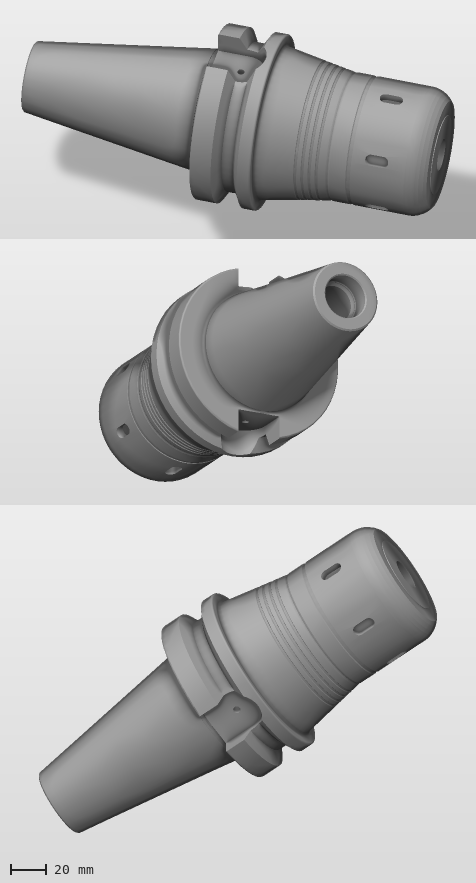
import cadquery as cq
import math


shank_length = 101.8
gauge_radius = 69.85 / 2
taper_slope = 7 / 48
shank_end_chamfer = 0.8
neck_radius = 68.9 / 2
neck_fillet = 1.75

flange_start = 3.0
flange_end = 38.0
flange_radius = 50.0
flange_edge_fillet = 1.0
groove_center = 23.0
groove_floor_width = 6.4
groove_floor_radius = 42.5
groove_wall_slope = math.tan(math.radians(60))
body_fillet = 1.5

body_start_radius = 43.3
body_middle = (57.0, 40.15)
body_end_x = 77.8

ring_count = 4
ring_start = 60.3
ring_pitch = 3.9
ring_width = 1.7
ring_depth = 0.5
ring_flank = 0.3

nut_radius = 73 / 2
nut_groove_radius = 72 / 2
front_groove_end = 80.0
collar_end = 89.4
nut_start = 92.0
nose_start = 122.9
nose_end = 134.6
nose_radius = 14.4
nose_arc_end = 128.6
nose_cone_ends = (130.7, 133.0, nose_end)
face_boss_radius = 22.5
total_reach = 135.0

slot_count = 6
slot_center = 106.3
slot_length = 13.2
slot_width = 6.4
slot_floor_radius = 32.0

keyway_width = 25.7
keyway_floor = 35.4
keyway_end = 34.0

cross_hole_diameter = 4.0
cross_hole_x = 19.6

pilot_radius = 25 / 2
pilot_chamfer = 0.7
pilot_depth = 11.6
thread_relief_radius = 24 / 2
thread_relief_length = 0.4
thread_radius = 21 / 2
thread_end_depth = 60.0
through_radius = 18 / 2


def nose_radius_at(x):
    """Nut radius at x, where the nose follows an arc tangent to the nut's side."""
    return nut_radius - nose_radius + math.sqrt(nose_radius**2 - (x - nose_start) ** 2)


def make_turned_body():
    """Outside of the holder, revolved about X."""
    small_radius = gauge_radius - shank_length * taper_slope
    groove_left = groove_center - groove_floor_width / 2
    groove_right = groove_center + groove_floor_width / 2
    groove_wall_run = (flange_radius - groove_floor_radius) / groove_wall_slope
    groove_drop = nut_radius - nut_groove_radius
    nose_points = [(x, nose_radius_at(x)) for x in nose_cone_ends]
    nose_arc_middle = (nose_start + nose_arc_end) / 2
    quarter_round_inset = 1 - math.sqrt(0.5)
    neck_inset = neck_fillet * quarter_round_inset
    neck_fillet_middle = (flange_start - neck_inset, neck_radius + neck_inset)
    body_inset = body_fillet * quarter_round_inset
    body_fillet_middle = (flange_end + body_inset, body_start_radius + body_inset)
    edge_inset = flange_edge_fillet * quarter_round_inset

    outline = (
        cq.Workplane("XY")
        .moveTo(-shank_length, 0)
        .lineTo(-shank_length, small_radius - shank_end_chamfer)
        .lineTo(-shank_length + shank_end_chamfer, small_radius + shank_end_chamfer * taper_slope)
        .lineTo(0, gauge_radius)
        .lineTo(0, neck_radius)
        .lineTo(flange_start - neck_fillet, neck_radius)
        .threePointArc(neck_fillet_middle, (flange_start, neck_radius + neck_fillet))
        .lineTo(flange_start, flange_radius - flange_edge_fillet)
        .threePointArc(
            (flange_start + edge_inset, flange_radius - edge_inset),
            (flange_start + flange_edge_fillet, flange_radius),
        )
        .lineTo(groove_left - groove_wall_run, flange_radius)
        .lineTo(groove_left, groove_floor_radius)
        .lineTo(groove_right, groove_floor_radius)
        .lineTo(groove_right + groove_wall_run, flange_radius)
        .lineTo(flange_end - flange_edge_fillet, flange_radius)
        .threePointArc(
            (flange_end - edge_inset, flange_radius - edge_inset),
            (flange_end, flange_radius - flange_edge_fillet),
        )
        .lineTo(flange_end, body_start_radius + body_fillet)
        .threePointArc(body_fillet_middle, (flange_end + body_fillet, body_start_radius))
        .threePointArc(body_middle, (body_end_x, nut_radius))
        .lineTo((body_end_x + front_groove_end) / 2, nut_groove_radius)
        .lineTo(front_groove_end, nut_radius)
        .lineTo(collar_end, nut_radius)
        .lineTo(collar_end + groove_drop, nut_groove_radius)
        .lineTo(nut_start, nut_groove_radius)
        .lineTo(nut_start, nut_radius)
        .lineTo(nose_start, nut_radius)
        .threePointArc(
            (nose_arc_middle, nose_radius_at(nose_arc_middle)),
            (nose_arc_end, nose_radius_at(nose_arc_end)),
        )
        .polyline(nose_points, includeCurrent=True)
        .lineTo(nose_end, face_boss_radius)
        .lineTo(total_reach, face_boss_radius)
        .lineTo(total_reach, 0)
        .close()
    )
    return outline.revolve(360, (0, 0, 0), (1, 0, 0))


def body_radius_at(x):
    """Body radius at x, from the parabola that closely follows the shallow body arc."""
    x1, y1 = flange_end + body_fillet, body_start_radius
    x2, y2 = body_middle
    x3, y3 = body_end_x, nut_radius
    weight1 = (x - x2) * (x - x3) / ((x1 - x2) * (x1 - x3))
    weight2 = (x - x1) * (x - x3) / ((x2 - x1) * (x2 - x3))
    weight3 = (x - x1) * (x - x2) / ((x3 - x1) * (x3 - x2))
    return y1 * weight1 + y2 * weight2 + y3 * weight3


def make_ring_groove(index):
    """Cutter for one shallow groove with sloped flanks around the body."""
    left = ring_start + index * ring_pitch
    right = left + ring_width
    left_radius = body_radius_at(left)
    right_radius = body_radius_at(right)
    profile = [
        (left, left_radius),
        (left + ring_flank, left_radius - ring_depth),
        (right - ring_flank, right_radius - ring_depth),
        (right, right_radius),
        (right, left_radius + ring_depth),
        (left, left_radius + ring_depth),
    ]
    return cq.Workplane("XY").polyline(profile).close().revolve(360, (0, 0, 0), (1, 0, 0))


def make_spanner_slot(angle):
    """Cutter for one flat-floored slot in the nut, turned about X by the angle."""
    return (
        cq.Workplane("XY", origin=(slot_center, 0, slot_floor_radius))
        .slot2D(slot_length, slot_width)
        .extrude(nut_radius)
        .rotate((0, 0, 0), (1, 0, 0), angle)
    )


def make_keyway(angle):
    """Cutter for one round-ended keyway, open towards the shank."""
    half_width = keyway_width / 2
    arc_center = keyway_end - half_width
    return (
        cq.Workplane("XY", origin=(0, 0, keyway_floor))
        .moveTo(0, -half_width)
        .lineTo(arc_center, -half_width)
        .threePointArc((keyway_end, 0), (arc_center, half_width))
        .lineTo(0, half_width)
        .close()
        .extrude(flange_radius)
        .rotate((0, 0, 0), (1, 0, 0), angle)
    )


def make_cross_hole():
    """Cutter for the small hole along Z, through both keyway floors."""
    return (
        cq.Workplane("XY", origin=(cross_hole_x, 0, -flange_radius))
        .circle(cross_hole_diameter / 2)
        .extrude(2 * flange_radius)
    )


def make_bore():
    """Stepped bore: chamfered pilot, relief, thread core and clearance hole through to the nose."""
    pilot_end = pilot_depth - shank_length
    relief_start = pilot_end + pilot_radius - thread_relief_radius
    relief_end = relief_start + thread_relief_length
    thread_start = relief_end + thread_relief_radius - thread_radius
    thread_end = thread_end_depth - shank_length
    profile = [
        (-shank_length, 0),
        (-shank_length, pilot_radius + pilot_chamfer),
        (-shank_length + pilot_chamfer, pilot_radius),
        (pilot_end, pilot_radius),
        (relief_start, thread_relief_radius),
        (relief_end, thread_relief_radius),
        (thread_start, thread_radius),
        (thread_end, thread_radius),
        (thread_end, through_radius),
        (total_reach, through_radius),
        (total_reach, 0),
    ]
    return cq.Workplane("XY").polyline(profile).close().revolve(360, (0, 0, 0), (1, 0, 0))


result = make_turned_body()
for ring_index in range(ring_count):
    result = result.cut(make_ring_groove(ring_index))
for slot_index in range(slot_count):
    result = result.cut(make_spanner_slot(slot_index * 360 / slot_count))
for keyway_angle in (0, 180):
    result = result.cut(make_keyway(keyway_angle))
result = result.cut(make_cross_hole()).cut(make_bore())